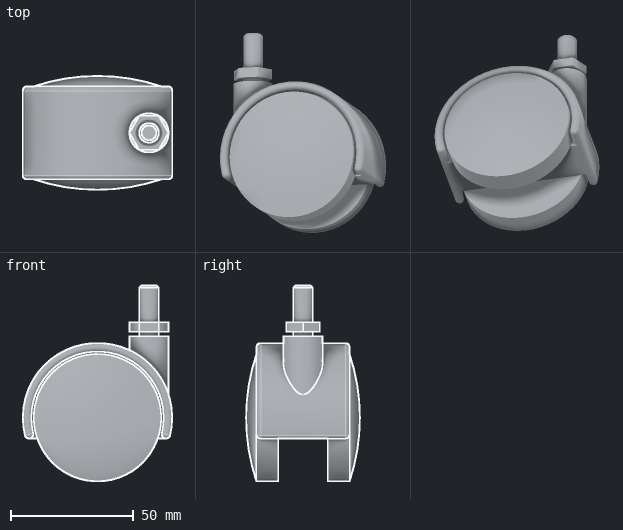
import cadquery as cq
import math


wheel_radius = 26.0
wheel_inner_y = 10.0
wheel_rim_y = 19.0
wheel_dome_y = 23.25

hood_radius = 30.5
hood_thickness = 3.5
bead_radius = hood_thickness / 2
bead_path_radius = hood_radius - bead_radius
bead_y = wheel_rim_y - bead_radius
housing_bottom_z = -8.5
hood_end_z = housing_bottom_z + bead_radius
hood_end_x = math.sqrt(bead_path_radius**2 - hood_end_z**2)
hood_end_angle = math.degrees(math.atan2(-hood_end_z, hood_end_x))
hood_sweep = 180 + 2 * hood_end_angle

boss_x = 21.0
boss_diameter = 16.0
boss_top_z = 33.25

stem_diameter = 8.0
stem_top_z = 54.0
stem_chamfer = 1.0
hex_across_corners = boss_diameter
hex_bottom_z = 35.0
hex_height = 4.0


def wheel_at(side):
    """Domed wheel whose outer face points to -Y (side = -1) or +Y (side = 1)."""
    dome_height = wheel_dome_y - wheel_rim_y
    sphere_radius = (wheel_radius**2 + dome_height**2) / (2 * dome_height)
    sphere_center_y = wheel_dome_y - sphere_radius
    mid_radius = wheel_radius / 2
    mid_y = sphere_center_y + math.sqrt(sphere_radius**2 - mid_radius**2)
    return (
        cq.Workplane("XY")
        .moveTo(0, side * wheel_inner_y)
        .lineTo(wheel_radius, side * wheel_inner_y)
        .lineTo(wheel_radius, side * wheel_rim_y)
        .threePointArc((mid_radius, side * mid_y), (0, side * wheel_dome_y))
        .close()
        .revolve(360, (0, 0, 0), (0, 1, 0))
    )


def make_hood():
    """Arched shell: a beaded cross-section swept about the axis, with round ends."""
    hood = (
        cq.Workplane("XY")
        .center(bead_path_radius, 0)
        .slot2D(2 * wheel_rim_y, hood_thickness, 90)
        .revolve(hood_sweep, (-bead_path_radius, 0, 0), (-bead_path_radius, -1, 0))
        .rotate((0, 0, 0), (0, 1, 0), hood_end_angle)
    )
    for end_x in (-hood_end_x, hood_end_x):
        round_end = (
            cq.Workplane("XZ", origin=(end_x, bead_y, hood_end_z))
            .circle(bead_radius)
            .extrude(2 * bead_y)
        )
        hood = hood.union(round_end)
        for bead_end_y in (-bead_y, bead_y):
            ball = cq.Workplane("XY", origin=(end_x, bead_end_y, hood_end_z)).sphere(bead_radius)
            hood = hood.union(ball)
    return hood


def make_web():
    """Solid wall between the wheels, cut flat at the bottom, filling the hood arch."""
    disc = (
        cq.Workplane("XZ", origin=(0, wheel_inner_y, 0))
        .circle(bead_path_radius)
        .extrude(2 * wheel_inner_y)
    )
    keep = cq.Workplane("XY", origin=(0, 0, hood_end_z)).box(
        2 * hood_radius, 2 * wheel_inner_y, 2 * hood_radius, centered=(True, True, False)
    )
    foot = cq.Workplane("XY", origin=(0, 0, housing_bottom_z)).box(
        2 * hood_end_x, 2 * wheel_inner_y, bead_radius, centered=(True, True, False)
    )
    return disc.intersect(keep).union(foot)


def make_boss():
    """Upright cylinder that rises out of the web and the hood."""
    return cq.Workplane("XY", origin=(boss_x, 0, 0)).circle(boss_diameter / 2).extrude(boss_top_z)


def make_housing():
    """Hood, web and boss as one body."""
    return make_hood().union(make_web()).union(make_boss())


def make_stem():
    """Stem standing on the boss, with a chamfered tip and a hexagon collar."""
    rod = (
        cq.Workplane("XY", origin=(boss_x, 0, boss_top_z))
        .circle(stem_diameter / 2)
        .extrude(stem_top_z - boss_top_z)
        .faces(">Z")
        .chamfer(stem_chamfer)
    )
    collar = (
        cq.Workplane("XY", origin=(boss_x, 0, hex_bottom_z))
        .polygon(6, hex_across_corners)
        .extrude(hex_height)
    )
    return rod.union(collar)


housing = make_housing()
stem = make_stem()
wheels = [wheel_at(side) for side in (-1, 1)]

result = cq.Compound.makeCompound([housing.val(), stem.val(), *[wheel.val() for wheel in wheels]])